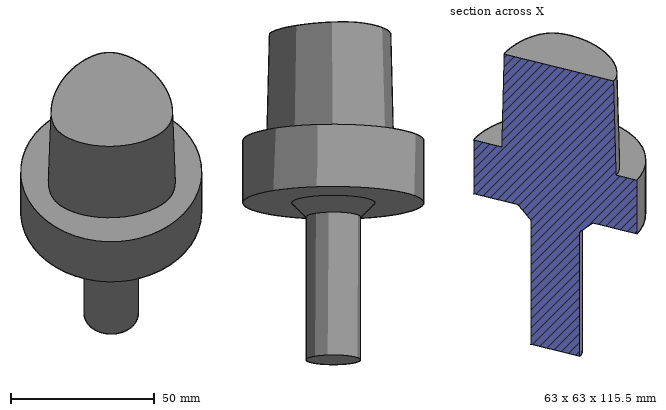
import cadquery as cq
import math

FLANGE_DIAMETER = 63.0
FLANGE_THICKNESS = 22.0

SHANK_LENGTH = 38.0
SHANK_BASE_WIDTH = 44.2
TAPER_RATIO = 1 / 20
LOBE_HEIGHT = 1.4
LOBE_COUNT = 3
FIRST_LOBE_ANGLE = -math.pi / 2
CURVE_SPANS = 36

PIN_DIAMETER = 19.0
CONE_HEIGHT = 5.0
PIN_LENGTH = 50.5

SHANK_TOP_WIDTH = SHANK_BASE_WIDTH - TAPER_RATIO * SHANK_LENGTH


def polygon_point(angle, width):
    """Point of the constant-width curve whose outward normal lies at the given angle."""
    lobe_phase = LOBE_COUNT * (angle - FIRST_LOBE_ANGLE)
    radial = width / 2 + LOBE_HEIGHT * math.cos(lobe_phase)
    tangential = -LOBE_COUNT * LOBE_HEIGHT * math.sin(lobe_phase)
    x = radial * math.cos(angle) - tangential * math.sin(angle)
    y = radial * math.sin(angle) + tangential * math.cos(angle)
    return (x, y)


def polygon_edge(width, height):
    """Closed curve at the given height, starting and ending at the tip of the -Y lobe."""
    step = 2 * math.pi / CURVE_SPANS
    points = [
        cq.Vector(*polygon_point(FIRST_LOBE_ANGLE + i * step, width), height)
        for i in range(CURVE_SPANS)
    ]
    return cq.Edge.makeSpline(points, periodic=True)


def make_shank():
    """Tapered three-lobed shank standing on the flange."""
    base = polygon_edge(SHANK_BASE_WIDTH, 0)
    top = polygon_edge(SHANK_TOP_WIDTH, SHANK_LENGTH)
    side = cq.Face.makeRuledSurface(base, top)
    base_cap = cq.Face.makeFromWires(cq.Wire.assembleEdges([base]))
    top_cap = cq.Face.makeFromWires(cq.Wire.assembleEdges([top]))
    shell = cq.Shell.makeShell([side, base_cap, top_cap])
    return cq.Workplane(cq.Solid.makeSolid(shell))


def make_flange_and_pin():
    """Flange, cone and pin turned about the Z axis."""
    flange_radius = FLANGE_DIAMETER / 2
    pin_radius = PIN_DIAMETER / 2
    cone_radius = pin_radius + CONE_HEIGHT
    cone_bottom = -FLANGE_THICKNESS - CONE_HEIGHT
    pin_bottom = cone_bottom - PIN_LENGTH
    profile = [
        (0, 0),
        (flange_radius, 0),
        (flange_radius, -FLANGE_THICKNESS),
        (cone_radius, -FLANGE_THICKNESS),
        (pin_radius, cone_bottom),
        (pin_radius, pin_bottom),
        (0, pin_bottom),
    ]
    return cq.Workplane("XZ").polyline(profile).close().revolve(360, (0, 0), (0, 1))


result = make_flange_and_pin().union(make_shank())